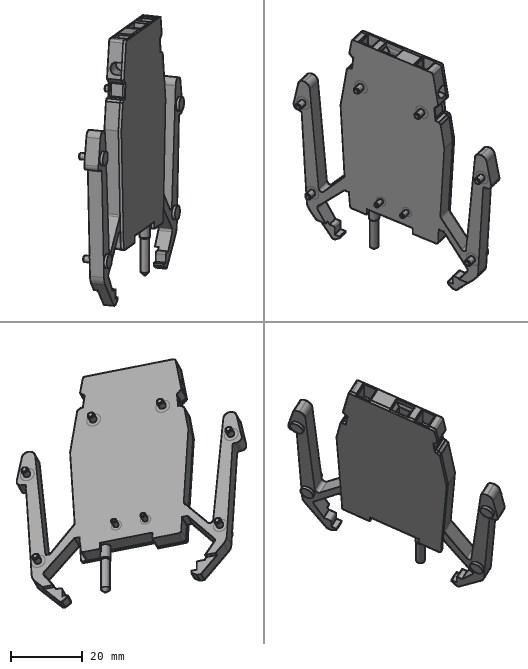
import cadquery as cq
import math


housing_thickness = 4.2
cover_thickness = 0.9
total_thickness = housing_thickness + cover_thickness

top_z = 74.9
top_half_width = 13.55
top_corner_radius = 0.75
shoulder_y = 17.4
shoulder_z = 49.8
waist_y = 16.0
waist_z = 24.85
foot_z = 14.7
foot_top_z = 20.1
foot_corner_radius = 0.75
recess_left_y = 8.6
recess_right_y = -6.8
recess_z = 16.7
recess_corner_radius = 0.4

cover_left_foot = (15.8, 15.6)
cover_right_foot = (-15.8, -15.6)
housing_left_foot = (14.6, 14.15)
housing_right_foot = (-15.5, -15.3)

left_notch = [(14.45, 69.55), (13.1, 68.4), (13.6, 64.5), (14.4, 64.3), (15.3, 63.6)]
right_notch = [(-15.35, 63.95), (-14.0, 62.6), (-14.4, 58.4), (-15.6, 58.25), (-16.2, 57.6)]
window_rim_x = (0.4, 4.95)
window_floor_x = (0.75, housing_thickness)
window_depth = 0.4
window_margin = 0.2

arm_top_z = 52.85
arm_tip_radius = 1.95
grip_radius = 1.5
grip_inner_radius = 0.6
bend_radius = 4.0
crotch_radius = 0.9
arm_corner_radius = 0.45
elbow_radius = 0.75
strut_root_radius = 0.75
strut_inside_y = 11.2
hook_step_z = 5.4
hook_step_x = 1.1
hook_lip = 1.65
lip_low_z = 1.2
lip_high_z = 1.8
left_hook_y = 20.1
right_hook_y = 19.5
left_strut_y = 16.0
right_strut_y = 17.15

stud_length = 2.55
stud_chamfer = 0.3
large_stud_radius = 1.0
large_hub_radius = 2.0
small_stud_radius = 0.75
small_hub_radius = 1.5
arm_studs = [(side * y, z) for side in (1, -1) for y, z in ((29.95, 45.15), (26.7, 14.6))]
upper_studs = [(10.5, 59.45), (-9.8, 59.45)]
lower_studs = [(3.8, 21.6), (-4.8, 21.6)]

pocket_x = 0.45
entry_end_x = 4.65
entry_length = 4.5
entry_offset = 9.2
entry_depth = 6.0
entry_chamfer = 0.4
funnel_middle_y = 2.0
funnel_length = 5.8
funnel_end_x = 4.4
funnel_straight = 1.5
funnel_taper = 1.1
shaft_x = 1.0
shaft_length = 3.5
shaft_depth = 6.0

side_slot_z = 66.9
side_slot_radius = 1.7
side_slot_x = 0.9
side_slot_inner_y = -10.5

pin_x = 2.55
pin_y = 7.8
pin_collar_radius = 1.5
pin_radius = 1.3
pin_shoulder_z = 12.05
pin_shoulder_chamfer = 0.4
pin_cone_z = 2.3
pin_tip_z = 1.05


def extrude_outline(points, start_x, end_x):
    """Extrude a closed (y, z) outline along X."""
    return cq.Workplane("YZ", origin=(start_x, 0, 0)).polyline(points).close().extrude(end_x - start_x)


def round_corners(body, corners, middle_x):
    """Fillet the X-parallel edges nearest to the given (y, z, radius) corners."""
    for y, z, radius in corners:
        nearest = cq.selectors.NearestToPointSelector((middle_x, y, z))
        body = body.edges("|X").edges(nearest).fillet(radius)
    return body


def box_between(x_range, y_range, z_range):
    """A box given by its two limits along each axis."""
    size = [high - low for low, high in (x_range, y_range, z_range)]
    corner = (x_range[0], y_range[0], z_range[0])
    return cq.Workplane("XY", origin=corner).box(*size, centered=False)


def plate(start_x, end_x, left_foot, right_foot):
    """The module outline without arms, with its latch notches and its bottom recess."""
    points = [
        (top_half_width, top_z),
        *left_notch,
        (shoulder_y, shoulder_z),
        (waist_y, waist_z),
        (left_foot[0], foot_top_z),
        (left_foot[1], foot_z),
        (recess_left_y, foot_z),
        (recess_left_y, recess_z),
        (recess_right_y, recess_z),
        (recess_right_y, foot_z),
        (right_foot[1], foot_z),
        (right_foot[0], foot_top_z),
        (-waist_y, waist_z),
        (-shoulder_y, shoulder_z),
        *reversed(right_notch),
        (-top_half_width, top_z),
    ]
    corners = [
        (top_half_width, top_z, top_corner_radius),
        (-top_half_width, top_z, top_corner_radius),
        (left_foot[1], foot_z, foot_corner_radius),
        (right_foot[1], foot_z, foot_corner_radius),
        (recess_right_y, recess_z, recess_corner_radius),
    ]
    return round_corners(extrude_outline(points, start_x, end_x), corners, (start_x + end_x) / 2)


def clip_arm(side, hook_y, strut_y):
    """A lever with its strut and hook; side is 1 for the +Y arm and -1 for the -Y arm."""
    tip_outer = (31.2, arm_top_z)
    tip_inner = (27.8, arm_top_z)
    grip_outer = (33.4, 41.9)
    grip_inner = (30.4, 41.85)
    bend = (28.6, 9.0)
    crotch = (24.5, 14.75)
    elbow = (25.4, 9.95)
    hook_top = (hook_y, 4.65)
    heel = (20.75, 0)
    hook_foot = (21.8, hook_top[1])
    lip_y = hook_y - hook_lip
    outline = [
        tip_inner,
        tip_outer,
        grip_outer,
        grip_inner,
        bend,
        heel,
        (hook_y, 0),
        (lip_y, lip_low_z),
        (lip_y, lip_high_z),
        (hook_y, lip_high_z),
        hook_top,
        hook_foot,
        elbow,
        (strut_y, foot_top_z),
        (strut_inside_y, foot_top_z),
        (strut_inside_y, waist_z),
        (waist_y, waist_z),
        crotch,
    ]
    corners = [
        (*tip_inner, arm_tip_radius),
        (*tip_outer, arm_tip_radius),
        (*grip_outer, grip_radius),
        (*grip_inner, grip_inner_radius),
        (*bend, bend_radius),
        (*crotch, crotch_radius),
        (*elbow, elbow_radius),
        (*hook_top, arm_corner_radius),
    ]
    arm = extrude_outline([(side * y, z) for y, z in outline], 0, housing_thickness)
    arm = round_corners(arm, [(side * y, z, r) for y, z, r in corners], housing_thickness / 2)
    reach = grip_outer[0]
    hook_relief = box_between((0, hook_step_x), (-reach, reach), (0, hook_step_z))
    return arm.cut(hook_relief)


def stud(radius):
    """A stud on the -X face with a chamfered end, at the origin."""
    return (
        cq.Workplane("YZ")
        .circle(radius)
        .extrude(-stud_length)
        .faces("<X")
        .chamfer(stud_chamfer)
    )


def add_studs(body, places, stud_radius, hub_radius, hub_length):
    """Add studs, each standing on a round hub that starts flush with the -X face."""
    hub = cq.Workplane("YZ").circle(hub_radius).extrude(hub_length)
    for y, z in places:
        body = body.union(hub.translate((0, y, z)), clean=False)
        body = body.union(stud(stud_radius).translate((0, y, z)), clean=False)
    return body


def entry_pocket(middle_y):
    """A rectangular top pocket with a chamfered mouth at both Y ends."""
    half = entry_length / 2
    inner_half = half - entry_chamfer
    outline = [
        (middle_y - half, top_z),
        (middle_y + half, top_z),
        (middle_y + inner_half, top_z - entry_chamfer),
        (middle_y + inner_half, top_z - entry_depth),
        (middle_y - inner_half, top_z - entry_depth),
        (middle_y - inner_half, top_z - entry_chamfer),
    ]
    return extrude_outline(outline, pocket_x, entry_end_x)


def funnel_pocket():
    """A rectangular top pocket that narrows through a funnel into a shaft."""
    mouth_middle_x = (pocket_x + funnel_end_x) / 2
    shaft_middle_x = (shaft_x + housing_thickness) / 2
    funnel_z = top_z - funnel_straight
    half = funnel_length / 2
    shaft_half = shaft_length / 2
    mouth = box_between(
        (pocket_x, funnel_end_x), (funnel_middle_y - half, funnel_middle_y + half), (funnel_z, top_z)
    )
    taper = (
        cq.Workplane("XY", origin=(mouth_middle_x, funnel_middle_y, funnel_z))
        .rect(funnel_end_x - pocket_x, funnel_length)
        .workplane(offset=-funnel_taper)
        .center(shaft_middle_x - mouth_middle_x, 0)
        .rect(housing_thickness - shaft_x, shaft_length)
        .loft(ruled=True)
    )
    shaft = box_between(
        (shaft_x, housing_thickness),
        (funnel_middle_y - shaft_half, funnel_middle_y + shaft_half),
        (top_z - shaft_depth, funnel_z),
    )
    return mouth.union(taper).union(shaft)


def side_slot():
    """A slot running along Y from the -Y edge, half round towards -X."""
    centre_x = side_slot_x + side_slot_radius
    low = side_slot_z - side_slot_radius
    high = side_slot_z + side_slot_radius
    return (
        cq.Workplane("XZ", origin=(0, side_slot_inner_y, 0))
        .moveTo(housing_thickness, low)
        .lineTo(centre_x, low)
        .threePointArc((side_slot_x, side_slot_z), (centre_x, high))
        .lineTo(housing_thickness, high)
        .close()
        .extrude(shoulder_y + side_slot_inner_y)
    )


def latch_window(notch, side):
    """A shallow recess in the floor of a latch notch, with sloping flanks at both X ends."""
    (upper_y, upper_z), (lower_y, lower_z) = notch[1:3]
    rise_y = upper_y - lower_y
    rise_z = upper_z - lower_z
    floor_plane = cq.Plane(origin=(0, lower_y, lower_z), xDir=(1, 0, 0), normal=(0, rise_y, rise_z))
    inside = -side * window_depth
    outside = side * window_depth
    section = [
        (window_floor_x[0], inside),
        (window_floor_x[1], inside),
        (window_rim_x[1], 0),
        (window_rim_x[1], outside),
        (window_rim_x[0], outside),
        (window_rim_x[0], 0),
    ]
    length = math.hypot(rise_y, rise_z) - 2 * window_margin
    return (
        cq.Workplane(floor_plane)
        .workplane(offset=window_margin)
        .polyline(section)
        .close()
        .extrude(length)
    )


def contact_pin():
    """A pointed pin with a thicker collar that ends at the top of the bottom recess."""
    profile = [
        (0, recess_z),
        (pin_collar_radius, recess_z),
        (pin_collar_radius, pin_shoulder_z + pin_shoulder_chamfer),
        (pin_radius, pin_shoulder_z),
        (pin_radius, pin_cone_z),
        (0, pin_tip_z),
    ]
    turned = cq.Workplane("XZ").polyline(profile).close().revolve(360, (0, 0), (0, 1))
    return turned.translate((pin_x, pin_y, 0))


shared_openings = [
    entry_pocket(entry_offset),
    funnel_pocket(),
    entry_pocket(-entry_offset),
    latch_window(left_notch, 1),
    latch_window(right_notch, -1),
]

pin = contact_pin()

housing = plate(0, housing_thickness, housing_left_foot, housing_right_foot)
housing = housing.union(clip_arm(1, left_hook_y, left_strut_y))
housing = housing.union(clip_arm(-1, right_hook_y, right_strut_y))
strut_roots = [(side * waist_y, waist_z, strut_root_radius) for side in (1, -1)]
housing = round_corners(housing, strut_roots, housing_thickness / 2)
housing = housing.cut(side_slot()).cut(pin)
for opening in shared_openings:
    housing = housing.cut(opening)
housing = add_studs(housing, arm_studs, large_stud_radius, large_hub_radius, total_thickness)
housing = add_studs(housing, upper_studs, large_stud_radius, large_hub_radius, housing_thickness)
housing = add_studs(housing, lower_studs, small_stud_radius, small_hub_radius, housing_thickness)

cover = plate(housing_thickness, total_thickness, cover_left_foot, cover_right_foot)
for opening in shared_openings:
    cover = cover.cut(opening)

result = cq.Compound.makeCompound([housing.val(), cover.val(), pin.val()])